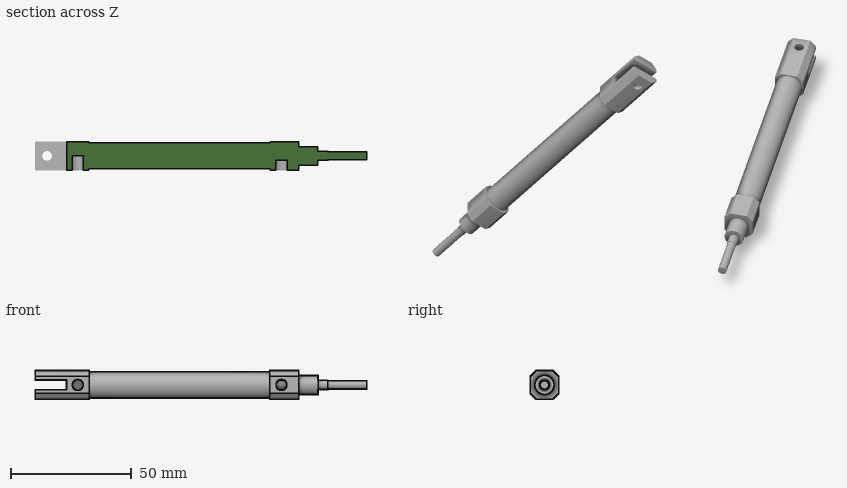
import cadquery as cq

overall_length = 137.75

block_width = 12.0
block_chamfer = 2.5
rear_block_length = 22.5
front_block_length = 12.0

tube_diameter = 11.0
tube_length = 75.0
nose_diameter = 8.0
nose_length = 8.0
rod_diameter = 4.0
rod_neck_length = 4.0
rod_tip_diameter = 3.6

slot_width = 4.0
slot_depth = 13.0
pin_hole_diameter = 4.0
pin_hole_x = 5.0

port_diameter = 4.5
port_depth = block_width / 2
port_offset = 4.75

tube_start = rear_block_length
front_block_start = tube_start + tube_length
nose_start = front_block_start + front_block_length
rod_neck_start = nose_start + nose_length
rod_tip_start = rod_neck_start + rod_neck_length
rod_tip_length = overall_length - rod_tip_start
rear_port_x = tube_start - port_offset
front_port_x = front_block_start + port_offset


def end_block(x_start, length):
    """Square block with its four long edges chamfered."""
    return (
        cq.Workplane("YZ", origin=(x_start, 0, 0))
        .rect(block_width, block_width)
        .extrude(length)
        .edges("|X")
        .chamfer(block_chamfer)
    )


def axial_cylinder(x_start, length, diameter):
    """Round section centred on the cylinder axis."""
    return cq.Workplane("YZ", origin=(x_start, 0, 0)).circle(diameter / 2).extrude(length)


def port(x_position):
    """Blind round cutter entering from the -Y face."""
    return (
        cq.Workplane("XZ", origin=(x_position, -block_width / 2, 0))
        .circle(port_diameter / 2)
        .extrude(-port_depth)
    )


def clevis_slot():
    """Slot open to the rear, running through the full width in Y."""
    return cq.Workplane("XY").box(
        slot_depth, block_width, slot_width, centered=(False, True, True)
    )


def pin_hole():
    """Vertical hole through both clevis arms."""
    return (
        cq.Workplane("XY", origin=(pin_hole_x, 0, -block_width / 2))
        .circle(pin_hole_diameter / 2)
        .extrude(block_width)
    )


rear_block = end_block(0, rear_block_length)
rear_block = rear_block.cut(clevis_slot())
rear_block = rear_block.cut(pin_hole())
rear_block = rear_block.cut(port(rear_port_x))

front_block = end_block(front_block_start, front_block_length)
front_block = front_block.cut(port(front_port_x))
front_block = front_block.union(
    axial_cylinder(front_block_start, front_block_length, rod_diameter)
)

result = (
    rear_block
    .union(axial_cylinder(tube_start, tube_length, tube_diameter))
    .union(front_block)
    .union(axial_cylinder(nose_start, nose_length, nose_diameter))
    .union(axial_cylinder(rod_neck_start, rod_neck_length, rod_diameter))
    .union(axial_cylinder(rod_tip_start, rod_tip_length, rod_tip_diameter))
)